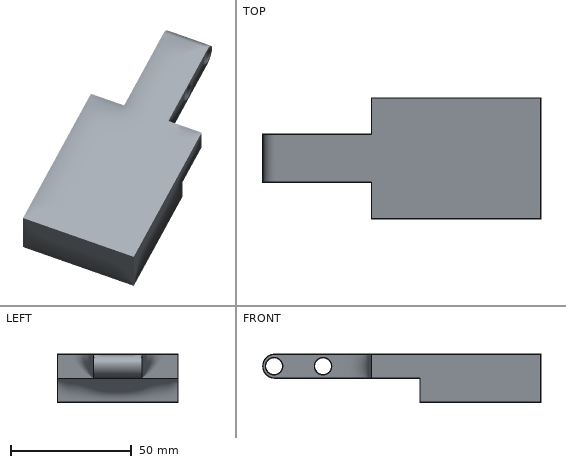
import cadquery as cq

length = 115.0
width = 50.0
height = 20.0

plate_thickness = height / 2
tongue_length = 45.0
tongue_width = 20.0
tip_radius = plate_thickness / 2

block_length = 50.0

hole_diameter = 7.0
tip_hole_x = 4.7
hole_spacing = 20.2

plate_bottom = height - plate_thickness
hole_z = height - plate_thickness / 2


def box_between(x_start, x_end, y_size, z_bottom, z_top):
    """Box spanning the given X and Z ranges, centred on Y."""
    return (
        cq.Workplane("XY", origin=((x_start + x_end) / 2, 0, z_bottom))
        .rect(x_end - x_start, y_size)
        .extrude(z_top - z_bottom)
    )


def cylinder_along_y(x, diameter):
    """Cylinder at tongue mid-height, as long as the tongue is wide."""
    return (
        cq.Workplane("XZ", origin=(x, 0, hole_z))
        .circle(diameter / 2)
        .extrude(tongue_width / 2, both=True)
    )


tongue = box_between(tip_radius, tongue_length, tongue_width, plate_bottom, height)
tongue = tongue.union(cylinder_along_y(tip_radius, 2 * tip_radius))
for hole_x in (tip_hole_x, tip_hole_x + hole_spacing):
    tongue = tongue.cut(cylinder_along_y(hole_x, hole_diameter))

plate = box_between(tongue_length, length, width, plate_bottom, height)
block = box_between(length - block_length, length, width, 0, plate_bottom)

result = plate.union(block).union(tongue).clean()